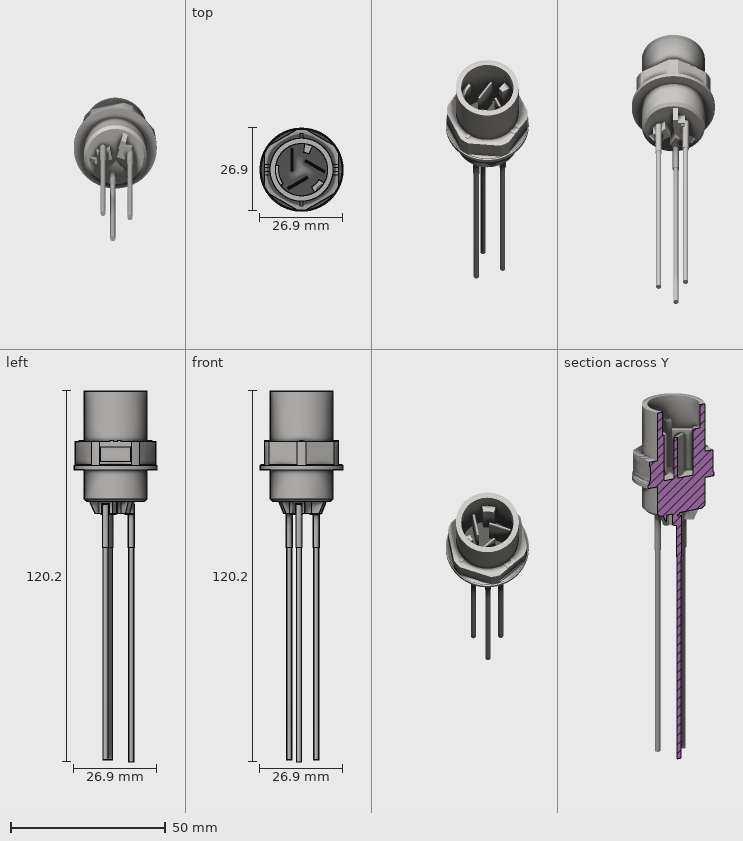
import cadquery as cq
import math


total_height = 120.2
barrel_top = 25.5
hex_top = 9.1
hex_bottom = 1.8
flange_top = 1.5
body_bottom = -10.3
pedestal_bottom = -14.2
sleeve_bottom = -25.1
lead_bottom = barrel_top - total_height
lead_shortfall = 0.7
short_lead_bottom = lead_bottom + lead_shortfall

body_radius = 20.4 / 2
bore_radius = 17.0 / 2
bore_floor = hex_bottom
flange_radius = 26.9 / 2
hex_across_flats = 24.0
half_hex_step = 30
hex_corner_radius = 13.1
seat_radius = 13.1
bottom_chamfer = 1.0

label_width = 9.6
label_height = 4.6
label_depth = 0.2
label_center_z = 5.0

mark_height = 0.4
mark_width = 1.1
single_mark_outer = 11.8
mark_pitch = 1.2

key_recess = 7.9
key_top = barrel_top - key_recess
keys = [
    (5.6, 65, 83),
    (7.5, 170, 217),
    (6.5, 300, 330),
]

contact_step = 120
contact_count = 3
blade_recess = 9.6
blade_top = barrel_top - blade_recess
blade_thickness = 0.7
blade_length = 7.2
blade_bevel = 0.2
blade_x = -3.1
blade_y = 3.2

fin_left = -1.5
fin_right = 0.1
fin_start = 3.7
fin_root = 8.4
fin_tip = 6.6
pad_face = -3.8
pad_back = -0.2
pad_start = 1.0
pad_end = 5.4

sleeve_radius = 2.0 / 2
lead_radius = 1.7 / 2
lead_x = -4.0
lead_y = 3.2
groove_roof = 0.6
groove_top = body_bottom - groove_roof
sleeve_clearance = 0.4
sleeve_top = groove_top - sleeve_clearance
groove_width = 2.5
groove_depth = 0.4
lip_width = 2.9
lip_thickness = 1.3
lip_height = 0.4
longest_lead = 1


def cylinder(radius, bottom, top):
    return cq.Workplane("XY").workplane(offset=bottom).circle(radius).extrude(top - bottom)


def block(x_range, y_range, z_range):
    """Box that fills the given (low, high) ranges."""
    size = [high - low for low, high in (x_range, y_range, z_range)]
    return cq.Workplane("XY").box(*size, centered=False).translate((x_range[0], y_range[0], z_range[0]))


def turned(shape, angle):
    return shape.rotate((0, 0, 0), (0, 0, 1), angle)


def polar(radius, angle):
    return (radius * math.cos(math.radians(angle)), radius * math.sin(math.radians(angle)))


def make_body():
    lower = cylinder(body_radius, body_bottom, 0).faces("<Z").chamfer(bottom_chamfer)
    flange = cylinder(flange_radius, 0, flange_top)
    seat = cylinder(seat_radius, flange_top, hex_bottom)
    barrel = cylinder(body_radius, 0, barrel_top)
    corner_diameter = hex_across_flats / math.cos(math.radians(half_hex_step))
    hexagon = (
        cq.Workplane("XY")
        .workplane(offset=hex_bottom)
        .polygon(6, corner_diameter)
        .extrude(hex_top - hex_bottom)
    )
    hexagon = turned(hexagon, half_hex_step).intersect(cylinder(hex_corner_radius, hex_bottom, hex_top))
    body = lower.union(flange).union(seat).union(barrel).union(hexagon)
    return body.cut(cylinder(bore_radius, bore_floor, barrel_top))


def make_label_recess():
    flat_x = -hex_across_flats / 2
    return block(
        (flat_x, flat_x + label_depth),
        (-label_width / 2, label_width / 2),
        (label_center_z - label_height / 2, label_center_z + label_height / 2),
    )


def make_mark(angle, offset, outer):
    """Radial bar on the hexagon, shifted sideways by offset."""
    bar = block(
        (body_radius - mark_height, outer),
        (offset - mark_width / 2, offset + mark_width / 2),
        (hex_top, hex_top + mark_height),
    )
    return turned(bar, angle)


def make_key(inner_radius, start, end):
    middle = (start + end) / 2
    outer_radius = (bore_radius + body_radius) / 2
    return (
        cq.Workplane("XY")
        .workplane(offset=bore_floor)
        .moveTo(*polar(inner_radius, start))
        .threePointArc(polar(inner_radius, middle), polar(inner_radius, end))
        .lineTo(*polar(outer_radius, end))
        .threePointArc(polar(outer_radius, middle), polar(outer_radius, start))
        .close()
        .extrude(key_top - bore_floor)
    )


def make_blade():
    """Flat contact blade with its two long top edges bevelled."""
    blade = block(
        (blade_x - blade_thickness / 2, blade_x + blade_thickness / 2),
        (blade_y - blade_length / 2, blade_y + blade_length / 2),
        (bore_floor, blade_top),
    )
    return blade.faces(">Z").edges("|Y").chamfer(blade_bevel)


def make_pedestal():
    """Tapered radial fin with a grooved pad and a bottom lip, carrying one lead."""
    fin = (
        cq.Workplane("YZ")
        .workplane(offset=fin_left)
        .polyline([
            (fin_start, body_bottom),
            (fin_root, body_bottom),
            (fin_tip, pedestal_bottom),
            (fin_start, pedestal_bottom),
        ])
        .close()
        .extrude(fin_right - fin_left)
    )
    pad = block((pad_face, pad_back), (pad_start, pad_end), (pedestal_bottom, body_bottom))
    groove = block(
        (pad_face, pad_face + groove_depth),
        (lead_y - groove_width / 2, lead_y + groove_width / 2),
        (pedestal_bottom, groove_top),
    )
    lip = block(
        (pad_face, pad_face + lip_thickness),
        (lead_y - lip_width / 2, lead_y + lip_width / 2),
        (pedestal_bottom - lip_height, pedestal_bottom),
    )
    return fin.union(pad).cut(groove).union(lip)


def make_lead(bottom):
    sleeve = cylinder(sleeve_radius, sleeve_bottom, sleeve_top)
    lead = cylinder(lead_radius, bottom, sleeve_bottom)
    return sleeve.union(lead).translate((lead_x, lead_y, 0))


result = make_body().cut(make_label_recess())

for side in (90, 270):
    result = result.union(make_mark(side, 0, single_mark_outer))
for side in (0, 180):
    for offset in (-mark_pitch, mark_pitch):
        result = result.union(make_mark(side, offset, hex_across_flats / 2))

for inner_radius, start, end in keys:
    result = result.union(make_key(inner_radius, start, end))

for index in range(contact_count):
    bottom = lead_bottom if index == longest_lead else short_lead_bottom
    contact = make_blade().union(make_pedestal()).union(make_lead(bottom))
    result = result.union(turned(contact, index * contact_step))